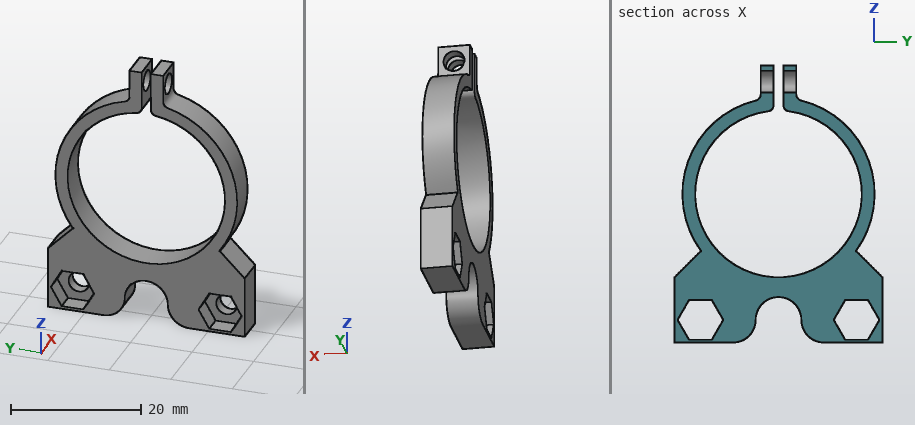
import cadquery as cq
import math

thickness = 5.0
total_height = 42.6
base_width = 32.0
base_side_height = 10.0
shoulder_run = 4.0

ring_center_z = 22.85
bore_radius = 12.8
ring_wall = 2.0
ring_radius = bore_radius + ring_wall

clamp_gap = 1.5
ear_thickness = ring_wall
ears_width = clamp_gap + 2 * ear_thickness
ear_fillet = 1.0
hole_diameter = 3.3
clamp_hole_drop = 2.5

arch_radius = 3.5
mount_spacing = 24.0
mount_z = arch_radius
nut_across_flats = 6.05
nut_across_corners = nut_across_flats / math.cos(math.pi / 6)
nut_depth = 3.0

half_base = base_width / 2


def make_disc(radius):
    """Full-thickness disc centred on the ring axis."""
    return cq.Workplane("YZ").center(0, ring_center_z).circle(radius).extrude(thickness)


def make_base():
    """Plate with 45 degree shoulders that run into the ring."""
    shoulder_y = half_base - shoulder_run
    shoulder_z = base_side_height + shoulder_run
    return (
        cq.Workplane("YZ")
        .moveTo(-half_base, 0)
        .lineTo(half_base, 0)
        .lineTo(half_base, base_side_height)
        .lineTo(shoulder_y, shoulder_z)
        .lineTo(-shoulder_y, shoulder_z)
        .lineTo(-half_base, base_side_height)
        .close()
        .extrude(thickness)
    )


def make_clamp():
    """Ring with two clamping ears, split at the top and rounded at the ears."""
    ring = make_disc(ring_radius)
    ear_height = total_height - ring_center_z
    ears = (
        cq.Workplane("YZ")
        .center(0, ring_center_z + ear_height / 2)
        .rect(ears_width, ear_height)
        .extrude(thickness)
    )
    gap = (
        cq.Workplane("YZ")
        .center(0, ring_center_z + ear_height / 2)
        .rect(clamp_gap, ear_height)
        .extrude(thickness)
    )
    clamp = ring.union(ears).cut(make_disc(bore_radius)).cut(gap)

    for half_width, radius in ((ears_width / 2, ring_radius), (clamp_gap / 2, bore_radius)):
        corner_z = ring_center_z + math.sqrt(radius**2 - half_width**2)
        for side in (-1, 1):
            corner = (thickness / 2, side * half_width, corner_z)
            clamp = clamp.edges(cq.selectors.NearestToPointSelector(corner)).fillet(ear_fillet)
    return clamp


def make_arch():
    """Semicircular relief in the bottom edge, with feet flaring out tangentially."""
    foot_y = 2 * arch_radius
    foot_offset = arch_radius * math.sqrt(0.5)
    foot_mid_y = foot_y - foot_offset
    foot_mid_z = arch_radius - foot_offset
    return (
        cq.Workplane("YZ")
        .moveTo(-foot_y, 0)
        .threePointArc((-foot_mid_y, foot_mid_z), (-arch_radius, arch_radius))
        .threePointArc((0, 2 * arch_radius), (arch_radius, arch_radius))
        .threePointArc((foot_mid_y, foot_mid_z), (foot_y, 0))
        .close()
        .extrude(thickness)
    )


def make_mount_holes():
    """Two bolt holes along X, each with a hexagonal nut pocket in the -X face."""
    centers = [(-mount_spacing / 2, mount_z), (mount_spacing / 2, mount_z)]
    plane = cq.Workplane("YZ").pushPoints(centers)
    holes = plane.circle(hole_diameter / 2).extrude(thickness)
    nuts = plane.polygon(6, nut_across_corners).extrude(nut_depth)
    return holes.union(nuts)


def make_clamp_hole():
    """Clamp screw hole along Y through both ears."""
    return (
        cq.Workplane("XZ")
        .center(thickness / 2, total_height - clamp_hole_drop)
        .circle(hole_diameter / 2)
        .extrude(ears_width, both=True)
    )


result = (
    make_base()
    .cut(make_disc(bore_radius))
    .union(make_clamp())
    .cut(make_arch())
    .cut(make_mount_holes())
    .cut(make_clamp_hole())
)